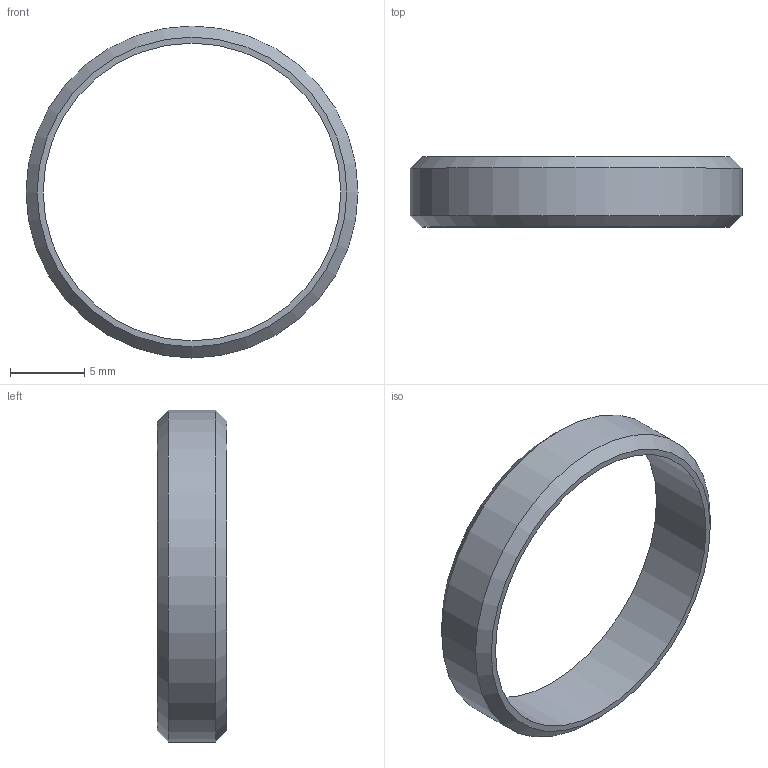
import cadquery as cq

outer_diameter = 22.3
bore_diameter = 20.0
ring_width = 4.7
edge_chamfer = 0.75


def make_ring():
    """Plain band with its axis along Y, centred on the origin."""
    return (
        cq.Workplane("XZ")
        .workplane(offset=-ring_width / 2)
        .circle(outer_diameter / 2)
        .circle(bore_diameter / 2)
        .extrude(ring_width)
    )


def chamfer_outer_edges(ring):
    """Bevel the outer rim at both ends of the band."""
    outer_rims = ring.faces("<Y or >Y").edges(cq.selectors.RadiusNthSelector(-1))
    return outer_rims.chamfer(edge_chamfer)


result = chamfer_outer_edges(make_ring())